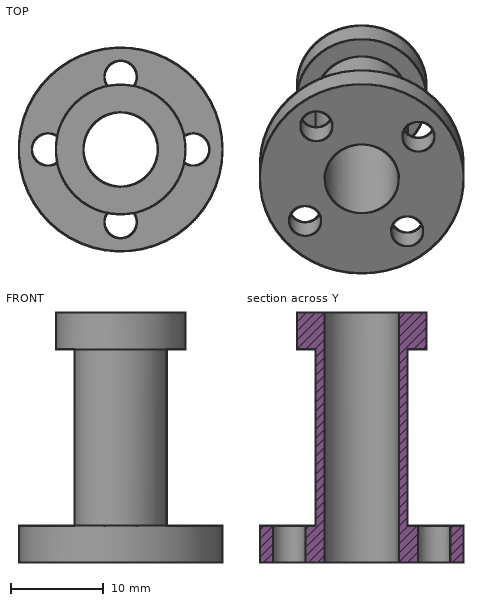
import cadquery as cq

total_height = 27.0
bore_diameter = 8.0

flange_diameter = 22.0
flange_thickness = 4.0
hole_diameter = 3.45
hole_circle_diameter = 15.65
hole_count = 4

tube_diameter = 10.0
collar_diameter = 14.0
collar_thickness = flange_thickness


def cylinder(diameter, bottom, top):
    """Solid cylinder on the Z axis between two heights."""
    return cq.Workplane("XY").workplane(offset=bottom).circle(diameter / 2).extrude(top - bottom)


flange = (
    cylinder(flange_diameter, 0, flange_thickness)
    .faces(">Z")
    .workplane()
    .polarArray(hole_circle_diameter / 2, 0, 360, hole_count)
    .hole(hole_diameter)
)
tube = cylinder(tube_diameter, 0, total_height)
collar = cylinder(collar_diameter, total_height - collar_thickness, total_height)
bore = cylinder(bore_diameter, 0, total_height)

result = flange.union(tube).union(collar).cut(bore)